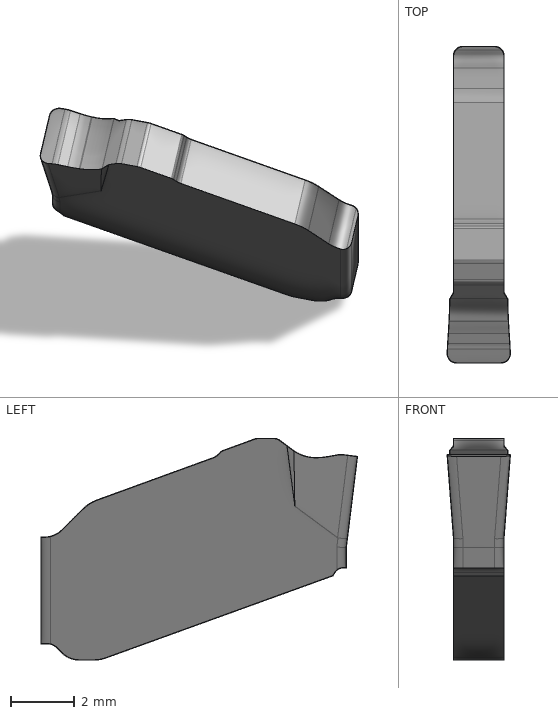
import cadquery as cq
import math

LENGTH = 10.0
HEIGHT = 7.0
BODY_WIDTH = 1.6
TIP_WIDTH = 2.0
CORNER_RADIUS = 0.3

TIP_Z = 6.43
RELIEF_ANGLE = 7.0
RELIEF_END_Z = 3.55
NOSE_BOTTOM_Z = 2.91
NOTCH_Y, NOTCH_Z = 0.62, NOSE_BOTTOM_Z
NOTCH_END_Y, NOTCH_END_Z = 0.78, 2.66
NOTCH_RADIUS = 0.3

CREST_Y, CREST_Z, CREST_RADIUS = 0.53, 6.50, 0.6
VALLEY_Z = 6.395
VALLEY_FRONT_Y, VALLEY_FRONT_RADIUS = 1.12, 2.1
VALLEY_REAR_Y, VALLEY_REAR_RADIUS = 1.72, 1.2

TOP_FRONT_Y, TOP_FRONT_RADIUS = 2.54, 0.3
TOP_REAR_Y, TOP_REAR_RADIUS = 3.20, 0.35
SEAT_ANGLE = 20.0
STEP_TOP_Y = 4.29
STEP_DEPTH = 0.18
STEP_TOP_RADIUS = 0.2
STEP_BOTTOM_RADIUS = 0.4
SEAT_REAR_Y, SEAT_REAR_RADIUS = 8.48, 1.2

REAR_TOP_Z, REAR_TOP_RADIUS = 3.885, 0.8
REAR_BOTTOM_Z, REAR_BOTTOM_RADIUS = 0.51, 0.4
FOOT_REAR_Y, FOOT_REAR_RADIUS = 9.11, 0.75
FOOT_FRONT_Y, FOOT_FRONT_RADIUS = 8.13, 1.0

FLARE_FRONT = (0.64, 3.87)
FLARE_REAR = (1.98, 4.86)
FLARE_TIP_Y = CORNER_RADIUS
FLARE_TIP_Z = TIP_Z + (CREST_Z - TIP_Z) * FLARE_TIP_Y / CREST_Y
FLARE_BACK_TOP = (2.22, 6.70)
FLARE_BACK_EDGE = (2.01, 6.58)

HALF_BODY = BODY_WIDTH / 2
HALF_TIP = TIP_WIDTH / 2

CUTTER_SIZE = 4 * LENGTH
NOSE_MARGIN = 0.01


def nose_y():
    """Y of the upright nose below the relief face."""
    return (TIP_Z - RELIEF_END_Z) * math.tan(math.radians(RELIEF_ANGLE))


def side_outline():
    """Corners of the side shape as (Y, Z, rounding radius), from the tip rearwards over the top."""
    seat_slope = math.tan(math.radians(SEAT_ANGLE))
    front_y = nose_y()
    step_top_z = HEIGHT - (STEP_TOP_Y - TOP_REAR_Y) * seat_slope
    step_bottom_y = STEP_TOP_Y + STEP_DEPTH
    step_bottom_z = step_top_z - STEP_DEPTH
    seat_rear_z = step_bottom_z - (SEAT_REAR_Y - step_bottom_y) * seat_slope
    rear_top_y = SEAT_REAR_Y + seat_rear_z - REAR_TOP_Z
    rear_bottom_y = FOOT_REAR_Y + REAR_BOTTOM_Z
    return [
        (0, TIP_Z, 0),
        (CREST_Y, CREST_Z, CREST_RADIUS),
        (VALLEY_FRONT_Y, VALLEY_Z, VALLEY_FRONT_RADIUS),
        (VALLEY_REAR_Y, VALLEY_Z, VALLEY_REAR_RADIUS),
        (TOP_FRONT_Y, HEIGHT, TOP_FRONT_RADIUS),
        (TOP_REAR_Y, HEIGHT, TOP_REAR_RADIUS),
        (STEP_TOP_Y, step_top_z, STEP_TOP_RADIUS),
        (step_bottom_y, step_bottom_z, STEP_BOTTOM_RADIUS),
        (SEAT_REAR_Y, seat_rear_z, SEAT_REAR_RADIUS),
        (rear_top_y, REAR_TOP_Z, REAR_TOP_RADIUS),
        (LENGTH, REAR_TOP_Z, 0),
        (LENGTH, REAR_BOTTOM_Z, 0),
        (rear_bottom_y, REAR_BOTTOM_Z, REAR_BOTTOM_RADIUS),
        (FOOT_REAR_Y, 0, FOOT_REAR_RADIUS),
        (FOOT_FRONT_Y, 0, FOOT_FRONT_RADIUS),
        (NOTCH_END_Y, NOTCH_END_Z, 0),
        (NOTCH_Y, NOTCH_Z, NOTCH_RADIUS),
        (front_y, NOSE_BOTTOM_Z, 0),
        (front_y, RELIEF_END_Z, 0),
    ]


def rounding_arc(before, corner, after):
    """Start, middle and end of the arc that rounds a corner tangent to both of its sides."""
    y, z, radius = corner
    angle_in = math.atan2(before[1] - z, before[0] - y)
    angle_out = math.atan2(after[1] - z, after[0] - y)
    half_angle = math.acos(math.cos(angle_out - angle_in)) / 2
    setback = radius / math.tan(half_angle)
    to_middle = radius / math.sin(half_angle) - radius
    bisector_y = math.cos(angle_in) + math.cos(angle_out)
    bisector_z = math.sin(angle_in) + math.sin(angle_out)
    bisector_length = math.hypot(bisector_y, bisector_z)
    start = (y + setback * math.cos(angle_in), z + setback * math.sin(angle_in))
    middle = (
        y + to_middle * bisector_y / bisector_length,
        z + to_middle * bisector_z / bisector_length,
    )
    end = (y + setback * math.cos(angle_out), z + setback * math.sin(angle_out))
    return start, middle, end


def extruded_side_shape(width):
    """The side shape extruded to a width centred on X = 0."""
    corners = side_outline()
    sketch = cq.Workplane("YZ").moveTo(*corners[0][:2])
    for i in range(1, len(corners)):
        corner = corners[i]
        if corner[2] == 0:
            sketch = sketch.lineTo(*corner[:2])
            continue
        start, middle, end = rounding_arc(corners[i - 1], corner, corners[i + 1])
        sketch = sketch.lineTo(*start).threePointArc(middle, end)
    return sketch.close().extrude(width / 2, both=True)


def outside_of_plane(point_a, point_b, point_c):
    """A large block lying on the +X side of the plane through three points."""
    a, b, c = cq.Vector(*point_a), cq.Vector(*point_b), cq.Vector(*point_c)
    normal = (b - a).cross(c - a)
    if normal.x < 0:
        normal = normal * -1
    plane = cq.Plane(origin=a, xDir=b - a, normal=normal)
    return cq.Workplane(plane).rect(CUTTER_SIZE, CUTTER_SIZE).extrude(CUTTER_SIZE)


def flared_head():
    """The wide cutting head, tapering downwards and rearwards into the body."""
    flare_front = (HALF_BODY, *FLARE_FRONT)
    flare_rear = (HALF_BODY, *FLARE_REAR)
    flank_tip = (HALF_TIP, FLARE_TIP_Y, FLARE_TIP_Z)
    back_top = (HALF_BODY, *FLARE_BACK_TOP)

    rise_per_y = (FLARE_REAR[1] - FLARE_FRONT[1]) / (FLARE_REAR[0] - FLARE_FRONT[0])

    def height_above_flare(y, z):
        return z - FLARE_FRONT[1] - rise_per_y * (y - FLARE_FRONT[0])

    flare_ratio = height_above_flare(*FLARE_BACK_EDGE) / height_above_flare(FLARE_TIP_Y, FLARE_TIP_Z)
    back_edge_x = HALF_BODY + (HALF_TIP - HALF_BODY) * flare_ratio
    back_edge = (back_edge_x, *FLARE_BACK_EDGE)

    head = extruded_side_shape(2 * TIP_WIDTH)
    for cutter in (
        outside_of_plane(flare_front, flare_rear, flank_tip),
        outside_of_plane(flare_rear, back_top, back_edge),
    ):
        head = head.cut(cutter).cut(cutter.mirror("YZ"))
    return head


def round_nose_corners(solid):
    """Round the upright front corners, along both the nose and the relief face."""
    front_y = nose_y()
    nose_box = cq.selectors.BoxSelector(
        (-TIP_WIDTH, -front_y, NOSE_BOTTOM_Z), (TIP_WIDTH, front_y + NOSE_MARGIN, TIP_Z)
    )
    return solid.edges(nose_box).edges("not |X").fillet(CORNER_RADIUS)


body = extruded_side_shape(BODY_WIDTH)
body = body.faces(">Y").edges("|Z").fillet(CORNER_RADIUS)
body = round_nose_corners(body)
result = body.union(round_nose_corners(flared_head()))